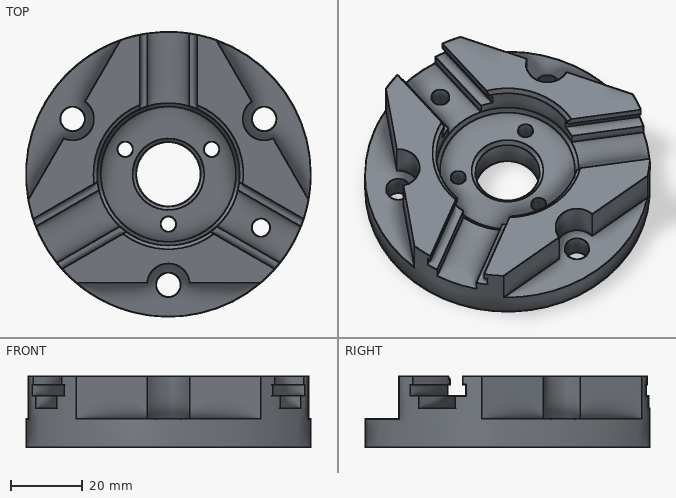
import cadquery as cq

disc_diameter = 80.0
total_height = 20.0
flange_height = 8.0

bore_diameter = 18.0
recess_diameter = 40.0
edge_chamfer = 1.0

slot_depth = 9.0
lip_thickness = 2.4
groove_height = 3.1
mouth_width = 16.2
groove_width = 18.0
foot_width = 11.8

flat_distance = 30.5
mount_distance = 31.0
mount_diameter = 6.8
relief_diameter = 12.0

small_hole_distance = 14.0
small_hole_diameter = 4.2
slot_hole_distance = 30.0
slot_hole_diameter = 5.0

slot_angles = (90, 210, 330)
flat_angles = (30, 150, 270)
slot_hole_angle = 330

disc_radius = disc_diameter / 2
slot_floor = total_height - slot_depth
recess_floor = slot_floor - edge_chamfer
groove_top = total_height - lip_thickness
groove_bottom = groove_top - groove_height
cut_length = disc_diameter


def cylinder(diameter, bottom, top, x=0):
    return cq.Workplane("XY", origin=(x, 0, bottom)).circle(diameter / 2).extrude(top - bottom)


def cone(bottom_diameter, top_diameter, bottom):
    """Conical cutter one edge chamfer high."""
    return (
        cq.Workplane("XY", origin=(0, 0, bottom))
        .circle(bottom_diameter / 2)
        .workplane(offset=edge_chamfer)
        .circle(top_diameter / 2)
        .loft()
    )


def radial_box(start, width, bottom, top):
    """Box running outward along +X from the given distance."""
    return (
        cq.Workplane("XY", origin=(start, 0, bottom))
        .rect(cut_length, width)
        .extrude(top - bottom)
        .translate((cut_length / 2, 0, 0))
    )


def turned(shape, angle):
    return shape.rotate((0, 0, 0), (0, 0, 1), angle)


def through_hole(diameter, distance):
    return cylinder(diameter, 0, total_height, distance)


def slot_cutter():
    foot = radial_box(0, foot_width, slot_floor, total_height)
    groove = radial_box(0, groove_width, groove_bottom, groove_top)
    mouth = radial_box(0, mouth_width, groove_bottom, total_height)
    return foot.union(groove).union(mouth)


def flat_cutter():
    flat = radial_box(flat_distance, cut_length, flange_height, total_height)
    relief = cylinder(relief_diameter, flange_height, total_height, mount_distance)
    return flat.union(relief)


result = cylinder(disc_diameter, 0, total_height)
result = result.cut(cylinder(recess_diameter, slot_floor, total_height))
result = result.cut(cone(recess_diameter, recess_diameter + 2 * edge_chamfer, total_height - edge_chamfer))
result = result.cut(cone(recess_diameter - 2 * edge_chamfer, recess_diameter, recess_floor))
result = result.cut(cylinder(bore_diameter, 0, total_height))
result = result.cut(cone(bore_diameter, bore_diameter + 2 * edge_chamfer, recess_floor - edge_chamfer))

for angle in slot_angles:
    result = result.cut(turned(slot_cutter(), angle))

for angle in flat_angles:
    result = result.cut(turned(flat_cutter(), angle))
    result = result.cut(turned(through_hole(mount_diameter, mount_distance), angle))
    result = result.cut(turned(through_hole(small_hole_diameter, small_hole_distance), angle))

result = result.cut(turned(through_hole(slot_hole_diameter, slot_hole_distance), slot_hole_angle))